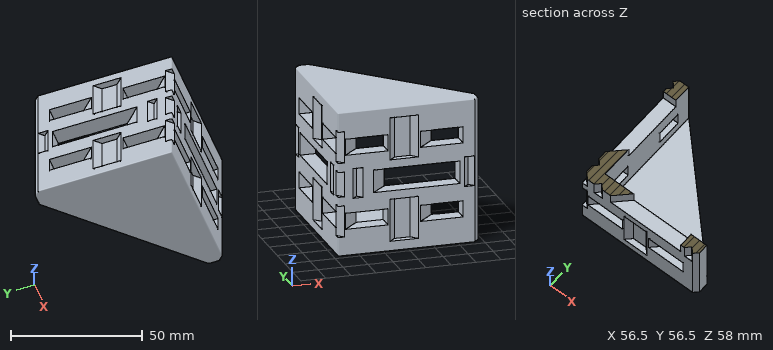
import cadquery as cq


LEG = 56.5
HEIGHT = 58.0
WALL = 6.35
TIP_CHAMFER = 1.9
EDGE_RADIUS = 0.4

MID_HEIGHT = HEIGHT / 2
CENTER = 26.4
ROW_OFFSET = 15.0
SMALL_SLOT_OFFSET = 15.0

SMALL_SLOT_LENGTH = 17.1
SMALL_SLOT_HEIGHT = 6.5
LONG_SLOT_LENGTH = 34.5
LONG_SLOT_HEIGHT = 9.1
LONG_SLOT_CENTER = CENTER + 5.0

RECESS_WIDTH = 11.3
RECESS_DEPTH = 2.6
RECESS_HEIGHT = 17.0
RECESS_OFFSET = 16.5

GROOVE_DEPTH = 2.0
GROOVE_HEIGHT = 12.0
GROOVE_POSITIONS = (8.0, LEG - 4.0)

NOTCH_SIZE = 2.6
OUTER_NOTCH_HEIGHT = 12.6
MIDDLE_NOTCH_HEIGHT = 10.0


def prism(outline, bottom, height):
    """Vertical prism on an XY outline."""
    return cq.Workplane("XY").workplane(offset=bottom).polyline(outline).close().extrude(height)


def cut_both_walls(body, outline, center_z, height):
    """Cut a prism into both walls; outline points are (along wall, depth into wall)."""
    bottom = center_z - height / 2
    mirrored = [(depth, along) for along, depth in outline]
    return body.cut(prism(outline, bottom, height)).cut(prism(mirrored, bottom, height))


def make_block():
    """Solid triangular block with beveled tips and rounded edges."""
    outline = [
        (0, 0),
        (LEG - TIP_CHAMFER, 0),
        (LEG, TIP_CHAMFER),
        (LEG, WALL),
        (WALL, LEG),
        (TIP_CHAMFER, LEG),
        (0, LEG - TIP_CHAMFER),
    ]
    block = prism(outline, 0, HEIGHT)
    sharp_zone = cq.selectors.BoxSelector(
        (-WALL, LEG - TIP_CHAMFER, HEIGHT - WALL), (WALL, LEG + WALL, HEIGHT + WALL)
    )
    top = block.faces(">Z").edges(cq.selectors.InverseSelector(sharp_zone))
    bottom = block.faces("<Z").edges()
    corner = block.edges("|Z").edges(cq.selectors.NearestToPointSelector((0, 0, MID_HEIGHT)))
    return top.add(bottom).add(corner).fillet(EDGE_RADIUS)


def cut_cavity(body):
    """Hollow the block behind the walls, leaving the diagonal side open."""
    outline = [(WALL, WALL), (LEG, WALL), (LEG, LEG), (WALL, LEG)]
    return body.cut(prism(outline, WALL, HEIGHT - 2 * WALL))


def cut_slot(body, center, center_z, length, height):
    """Cut a slot through each wall."""
    near = center - length / 2
    far = center + length / 2
    outline = [(near, 0), (far, 0), (far, WALL), (near + WALL, WALL)]
    return cut_both_walls(body, outline, center_z, height)


def cut_recess(body, center_z):
    """Cut a flat-bottomed recess in the outside of each wall."""
    near = CENTER - RECESS_WIDTH / 2
    far = CENTER + RECESS_WIDTH / 2
    outline = [
        (near, 0),
        (far, 0),
        (far - RECESS_DEPTH, RECESS_DEPTH),
        (near + RECESS_DEPTH, RECESS_DEPTH),
    ]
    return cut_both_walls(body, outline, center_z, RECESS_HEIGHT)


def cut_groove(body, center):
    """Cut a 90 degree V groove in the outside of each wall."""
    outline = [(center - GROOVE_DEPTH, 0), (center + GROOVE_DEPTH, 0), (center, GROOVE_DEPTH)]
    return cut_both_walls(body, outline, MID_HEIGHT, GROOVE_HEIGHT)


def cut_corner_notch(body, center_z, height):
    """Cut a 45 degree notch across the outer corner edge."""
    outline = [(0, 0), (NOTCH_SIZE, 0), (0, NOTCH_SIZE)]
    return body.cut(prism(outline, center_z - height / 2, height))


bracket = cut_cavity(make_block())
bracket = cut_slot(bracket, LONG_SLOT_CENTER, MID_HEIGHT, LONG_SLOT_LENGTH, LONG_SLOT_HEIGHT)
bracket = cut_corner_notch(bracket, MID_HEIGHT, MIDDLE_NOTCH_HEIGHT)

for side in (-1, 1):
    row_z = MID_HEIGHT + side * ROW_OFFSET
    for slot_center in (CENTER - SMALL_SLOT_OFFSET, CENTER + SMALL_SLOT_OFFSET):
        bracket = cut_slot(bracket, slot_center, row_z, SMALL_SLOT_LENGTH, SMALL_SLOT_HEIGHT)
    bracket = cut_corner_notch(bracket, row_z, OUTER_NOTCH_HEIGHT)
    bracket = cut_recess(bracket, MID_HEIGHT + side * RECESS_OFFSET)

for groove_center in GROOVE_POSITIONS:
    bracket = cut_groove(bracket, groove_center)

result = bracket